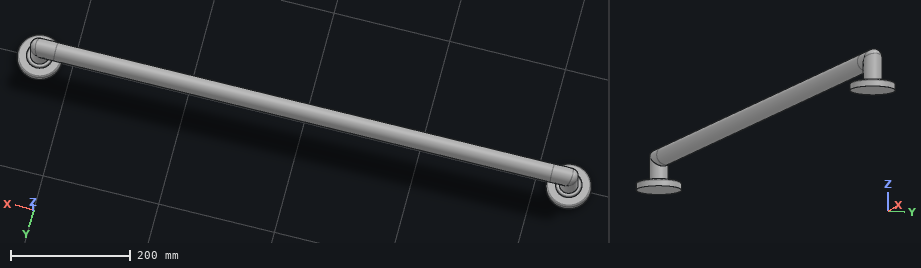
import cadquery as cq

post_spacing = 914.4
tube_diameter = 31.75
overall_height = 69.98
elbow_fillet = 9.0
elbow_reach = 28.0
flange_diameter = 76.2
flange_thickness = 12.7
flange_rim_fillet = 2.54
collar_diameter = 44.45
collar_height = 3.175
collar_rim_fillet = 1.5
side_margin = 0.275

tube_radius = tube_diameter / 2
rail_axis_height = overall_height - tube_radius
post_x = post_spacing / 2
rail_length = post_spacing - 2 * elbow_reach


def make_flange():
    """Round mounting flange with a rounded top rim and a raised, rounded collar."""
    plate = cq.Workplane("XY").circle(flange_diameter / 2).extrude(flange_thickness)
    plate = plate.faces(">Z").edges().fillet(flange_rim_fillet)
    collar = cq.Workplane("XY").circle(collar_diameter / 2).extrude(flange_thickness + collar_height)
    collar = collar.faces(">Z").edges().fillet(collar_rim_fillet)
    return plate.union(collar)


def make_mitred_tube():
    """Tube up the Z axis with a sharp mitre into a stub that runs toward +X."""
    path = (
        cq.Workplane("XZ")
        .lineTo(0, rail_axis_height)
        .lineTo(elbow_reach, rail_axis_height)
    )
    outward = cq.Plane(origin=(0, 0, 0), xDir=(-1, 0, 0), normal=(0, 0, 1))
    return cq.Workplane(outward).circle(tube_radius).sweep(path, transition="right")


def make_elbow_post():
    """Mitred tube with its outer corner rounded.

    The mitre edge flattens out at the two sides of the tube, where a fillet cannot end.
    The middle of the tube is rounded on its own and the two thin side strips are added back.
    """
    tube = make_mitred_tube()
    middle_slab = cq.Workplane("XY").box(
        2 * (elbow_reach + tube_radius),
        2 * (tube_radius - side_margin),
        2 * overall_height,
    )
    side_strips = tube.cut(middle_slab)
    middle = tube.intersect(middle_slab)
    outer_mitre = middle.edges("%ELLIPSE").edges(
        cq.selectors.BoxSelector(
            (-tube_diameter, -tube_diameter, rail_axis_height),
            (0, tube_diameter, 2 * overall_height),
        )
    )
    return outer_mitre.fillet(elbow_fillet).union(side_strips)


def make_rail():
    """Straight rail between the two elbow joints."""
    upward = cq.Plane(origin=(-rail_length / 2, 0, rail_axis_height), xDir=(0, 0, 1), normal=(1, 0, 0))
    return cq.Workplane(upward).circle(tube_radius).extrude(rail_length)


left_end = make_elbow_post().union(make_flange()).translate((-post_x, 0, 0))
right_end = left_end.mirror("YZ")
result = make_rail().union(left_end).union(right_end)